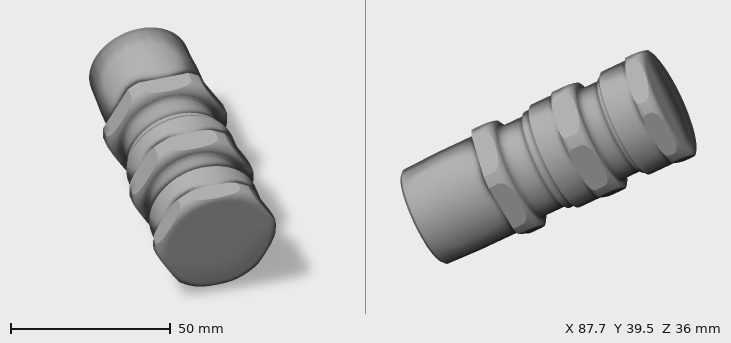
import cadquery as cq
import math


TAPER_END = 12.7
ENTRY_HEX_START = 27.5
ENTRY_HEX_END = 34.65
ENTRY_NECK_END = 42.9
MIDDLE_START = 46.6
MIDDLE_HEX_START = 55.0
MIDDLE_HEX_END = 63.15
MIDDLE_NECK_END = 69.55
BACK_START = 71.7
BACK_HEX_START = 81.1
TOTAL_LENGTH = 87.7

HEX_ACROSS_FLATS = 36
CORNER_RADIUS = 39.5 / 2
ENTRY_HEX_ROUND = 3.7
HEX_BACK_ROUND = 3.2

TIP_RADIUS = 30.5 / 2
TAPER_START_RADIUS = 32.6 / 2
ENTRY_THREAD_RADIUS = 33.4 / 2
TIP_CHAMFER_LENGTH = 1.0
ENTRY_ROOT_FILLET = 0.4

NECK_RADIUS = 31.2 / 2
NECK_FILLET = 0.9
TAIL_RADIUS = 33.3 / 2
SLEEVE_RADIUS = 35.6 / 2
SLEEVE_EDGE_ROUND = 0.4
HEX_FRONT_ROUND = CORNER_RADIUS - SLEEVE_RADIUS

QUARTER_ARC = math.sqrt(0.5)


def revolve_about_axis(profile):
    """Turn a closed (axial, radial) profile about the X axis."""
    return profile.close().revolve(360, (0, 0, 0), (1, 0, 0))


def rod(start, end, radius):
    """Plain round bar along X."""
    return cq.Workplane("YZ", origin=(start, 0, 0)).circle(radius).extrude(end - start)


def hex_collar(start, end, back_round, front_round=None):
    """Hexagon with flats facing up and down, and rounded-off corners."""
    corner_diameter = HEX_ACROSS_FLATS / math.cos(math.pi / 6)
    prism = cq.Workplane("YZ", origin=(start, 0, 0)).polygon(6, corner_diameter).extrude(end - start)
    turned = rod(start, end, CORNER_RADIUS).faces(">X").edges().fillet(back_round)
    if front_round:
        turned = turned.faces("<X").edges().fillet(front_round)
    return prism.intersect(turned)


def threaded_tail(hex_start, hex_end, neck_end, tail_end):
    """Core of a collar, its filleted neck and the thread behind the neck."""
    fillet_top = NECK_RADIUS + NECK_FILLET
    fillet_middle = (
        hex_end + NECK_FILLET * (1 - QUARTER_ARC),
        NECK_RADIUS + NECK_FILLET * (1 - QUARTER_ARC),
    )
    relief_chamfer = TAIL_RADIUS - NECK_RADIUS
    profile = (
        cq.Workplane("XY")
        .moveTo(hex_start, 0)
        .lineTo(hex_start, fillet_top)
        .lineTo(hex_end, fillet_top)
        .threePointArc(fillet_middle, (hex_end + NECK_FILLET, NECK_RADIUS))
        .lineTo(neck_end, NECK_RADIUS)
        .lineTo(neck_end + relief_chamfer, TAIL_RADIUS)
        .lineTo(tail_end, TAIL_RADIUS)
        .lineTo(tail_end, 0)
    )
    return revolve_about_axis(profile)


def nut_head(start, hex_start, hex_end):
    """Round sleeve running into a hexagonal collar."""
    sleeve = rod(start, hex_start, SLEEVE_RADIUS).faces("<X").edges().fillet(SLEEVE_EDGE_ROUND)
    return sleeve.union(hex_collar(hex_start, hex_end, HEX_BACK_ROUND, HEX_FRONT_ROUND))


def make_entry_nipple():
    fillet_middle = (
        ENTRY_HEX_START - ENTRY_ROOT_FILLET * (1 - QUARTER_ARC),
        ENTRY_THREAD_RADIUS + ENTRY_ROOT_FILLET * (1 - QUARTER_ARC),
    )
    thread_profile = (
        cq.Workplane("XY")
        .lineTo(0, TIP_RADIUS)
        .lineTo(TIP_CHAMFER_LENGTH, TAPER_START_RADIUS)
        .lineTo(TAPER_END, ENTRY_THREAD_RADIUS)
        .lineTo(ENTRY_HEX_START - ENTRY_ROOT_FILLET, ENTRY_THREAD_RADIUS)
        .threePointArc(fillet_middle, (ENTRY_HEX_START, ENTRY_THREAD_RADIUS + ENTRY_ROOT_FILLET))
        .lineTo(ENTRY_HEX_START, 0)
    )
    collar = hex_collar(ENTRY_HEX_START, ENTRY_HEX_END, ENTRY_HEX_ROUND)
    tail = threaded_tail(ENTRY_HEX_START, ENTRY_HEX_END, ENTRY_NECK_END, MIDDLE_HEX_START)
    return revolve_about_axis(thread_profile).union(collar).union(tail)


def make_middle_nut():
    head = nut_head(MIDDLE_START, MIDDLE_HEX_START, MIDDLE_HEX_END)
    tail = threaded_tail(MIDDLE_HEX_START, MIDDLE_HEX_END, MIDDLE_NECK_END, BACK_HEX_START)
    socket = rod(MIDDLE_START, MIDDLE_HEX_START, TAIL_RADIUS)
    return head.union(tail).cut(socket)


def make_back_nut():
    head = nut_head(BACK_START, BACK_HEX_START, TOTAL_LENGTH)
    socket = rod(BACK_START, BACK_HEX_START, TAIL_RADIUS)
    return head.cut(socket)


entry_nipple = make_entry_nipple()
middle_nut = make_middle_nut()
back_nut = make_back_nut()

result = cq.Compound.makeCompound([entry_nipple.val(), middle_nut.val(), back_nut.val()])